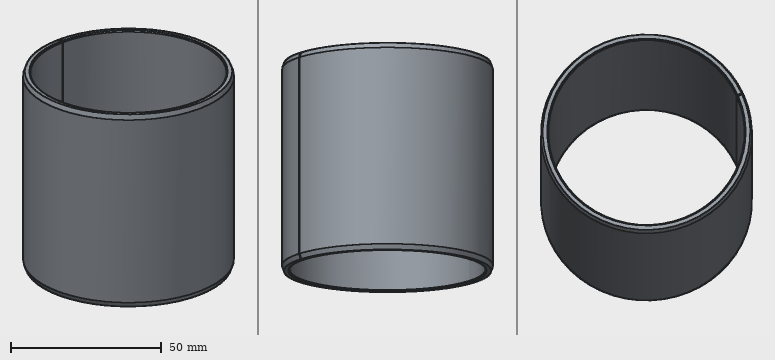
import cadquery as cq

outer_diameter = 70.0
length = 70.0
wall = 2.5
outer_chamfer_height = 1.75
outer_chamfer_depth = 0.6
inner_chamfer = 0.4
slit_width = 0.5

outer_radius = outer_diameter / 2
inner_radius = outer_radius - wall
half_length = length / 2


def bushing_body():
    """Revolve the wall section, chamfered at both ends inside and outside."""
    face_outer_radius = outer_radius - outer_chamfer_depth
    face_inner_radius = inner_radius + inner_chamfer
    outer_chamfer_z = half_length - outer_chamfer_height
    inner_chamfer_z = half_length - inner_chamfer
    section = [
        (inner_radius, -inner_chamfer_z),
        (face_inner_radius, -half_length),
        (face_outer_radius, -half_length),
        (outer_radius, -outer_chamfer_z),
        (outer_radius, outer_chamfer_z),
        (face_outer_radius, half_length),
        (face_inner_radius, half_length),
        (inner_radius, inner_chamfer_z),
    ]
    return cq.Workplane("XZ").polyline(section).close().revolve(360, (0, 0), (0, 1))


def slit_cutter():
    """Full-length gap through the wall on the -X side, from the XZ plane toward +Y."""
    slit = cq.Workplane("XY").box(outer_radius, slit_width, length)
    return slit.translate((-outer_radius, slit_width / 2, 0))


result = bushing_body().cut(slit_cutter())